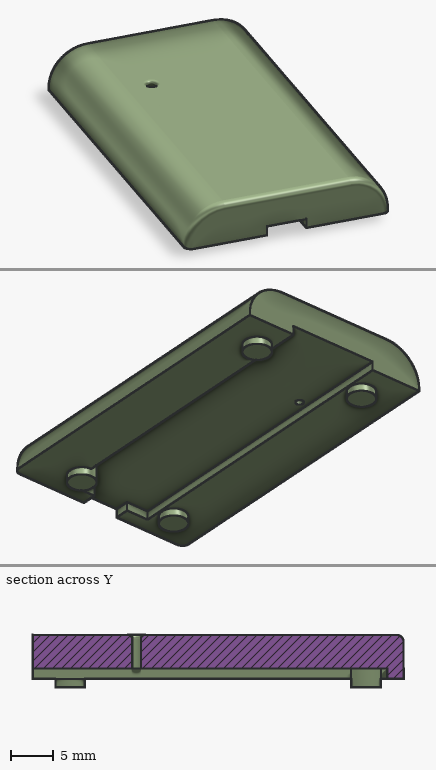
import cadquery as cq

body_length = 44.0
body_width = 26.0
body_height = 5.25
shoulder_radius = 4.95
end_fillet = 0.92

recess_depth = 1.2
channel_width = 12.15
channel_center_y = 0.2
end_wall = 2.0
slot_width = 5.0
slot_center_y = -0.2

peg_diameter = 3.5
peg_drop = 1.0
near_peg_x = 4.45
peg_spacing = 35.05
far_peg_x = near_peg_x + peg_spacing
left_peg_y = 8.25
right_peg_y = -7.8
inset_peg_y = channel_center_y + channel_width / 2
peg_centers = [
    (near_peg_x, left_peg_y),
    (near_peg_x, right_peg_y),
    (far_peg_x, inset_peg_y),
    (far_peg_x, right_peg_y),
]

hole_diameter = 1.0
hole_mouth_radius = 0.5
hole_x = 12.3
hole_y = -4.75


def make_body():
    """Extrude the domed cross-section and round the closed end."""
    half_width = body_width / 2
    half_flat = half_width - shoulder_radius
    spring_height = body_height - shoulder_radius
    section = (
        cq.Workplane("YZ")
        .moveTo(-half_width, 0)
        .lineTo(half_width, 0)
        .lineTo(half_width, spring_height)
        .radiusArc((half_flat, body_height), -shoulder_radius)
        .lineTo(-half_flat, body_height)
        .radiusArc((-half_width, spring_height), -shoulder_radius)
        .close()
    )
    body = section.extrude(body_length)
    return body.faces(">X").edges("not <Z").fillet(end_fillet)


def make_recess():
    """Wide channel plus the narrow slot that continues through the far end."""
    channel = cq.Workplane("XY").box(
        body_length - end_wall, channel_width, recess_depth, centered=(False, True, False)
    )
    slot = cq.Workplane("XY").box(
        body_length, slot_width, recess_depth, centered=(False, True, False)
    )
    return channel.translate((0, channel_center_y, 0)).union(slot.translate((0, slot_center_y, 0)))


def make_pegs():
    """Pegs reach up to the recess roof, so the inset one stays attached inside the channel."""
    return (
        cq.Workplane("XY", origin=(0, 0, -peg_drop))
        .pushPoints(peg_centers)
        .circle(peg_diameter / 2)
        .extrude(peg_drop + recess_depth)
    )


def cut_hole(part):
    """Drill the through hole, then round its top rim."""
    drill = (
        cq.Workplane("XY", origin=(hole_x, hole_y, 0))
        .circle(hole_diameter / 2)
        .extrude(body_height)
    )
    return part.cut(drill).faces(">Z").edges("%CIRCLE").fillet(hole_mouth_radius)


result = cut_hole(make_body().cut(make_recess()).union(make_pegs()))